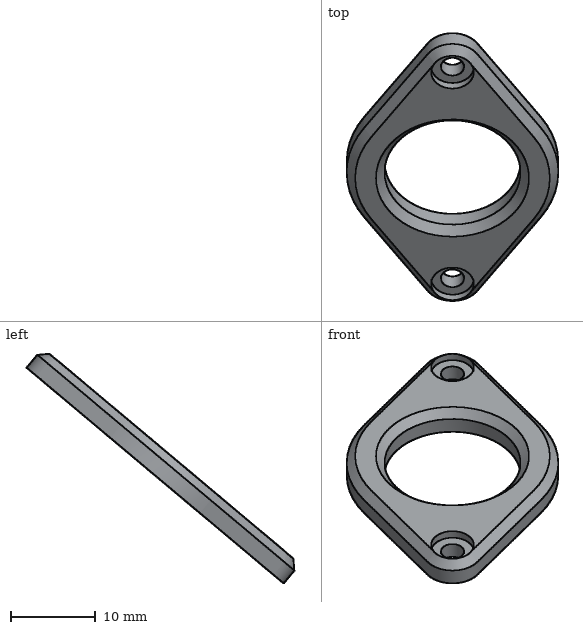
import cadquery as cq
import math

tilt_angle = 40.0
overall_depth = 31.55
plate_width = 24.92
tip_radius = 3.5
plate_thickness = 3.0
edge_break = 1.0
bore_diameter = 16.0
screw_diameter = 2.7
counterbore_diameter = 5.0
counterbore_depth = 1.0

tilt = math.radians(tilt_angle)
wall_height = plate_thickness - edge_break
plate_length = (overall_depth - wall_height * math.sin(tilt)) / math.cos(tilt)

middle_radius = plate_width / 2
tip_offset = plate_length / 2 - tip_radius
screw_positions = [(0, tip_offset), (0, -tip_offset)]


def flange_outline():
    """Large middle circle joined to two tip circles by tangent lines."""
    tangent_angle = math.asin((middle_radius - tip_radius) / tip_offset)
    across = math.cos(tangent_angle)
    along = math.sin(tangent_angle)
    middle_x = middle_radius * across
    middle_y = middle_radius * along
    tip_x = tip_radius * across
    tip_y = tip_offset + tip_radius * along
    return (
        cq.Workplane("XY")
        .moveTo(middle_x, -middle_y)
        .threePointArc((middle_radius, 0), (middle_x, middle_y))
        .lineTo(tip_x, tip_y)
        .threePointArc((0, plate_length / 2), (-tip_x, tip_y))
        .lineTo(-middle_x, middle_y)
        .threePointArc((-middle_radius, 0), (-middle_x, -middle_y))
        .lineTo(-tip_x, -tip_y)
        .threePointArc((0, -plate_length / 2), (tip_x, -tip_y))
        .close()
    )


plate = flange_outline().extrude(plate_thickness)
plate = plate.faces(">Z").workplane(origin=(0, 0, 0)).hole(bore_diameter)
plate = plate.faces(">Z").edges().chamfer(edge_break)

plate = (
    plate.faces(">Z")
    .workplane(origin=(0, 0, 0))
    .pushPoints(screw_positions)
    .cboreHole(screw_diameter, counterbore_diameter, counterbore_depth)
)

result = plate.rotate((0, 0, 0), (1, 0, 0), tilt_angle)